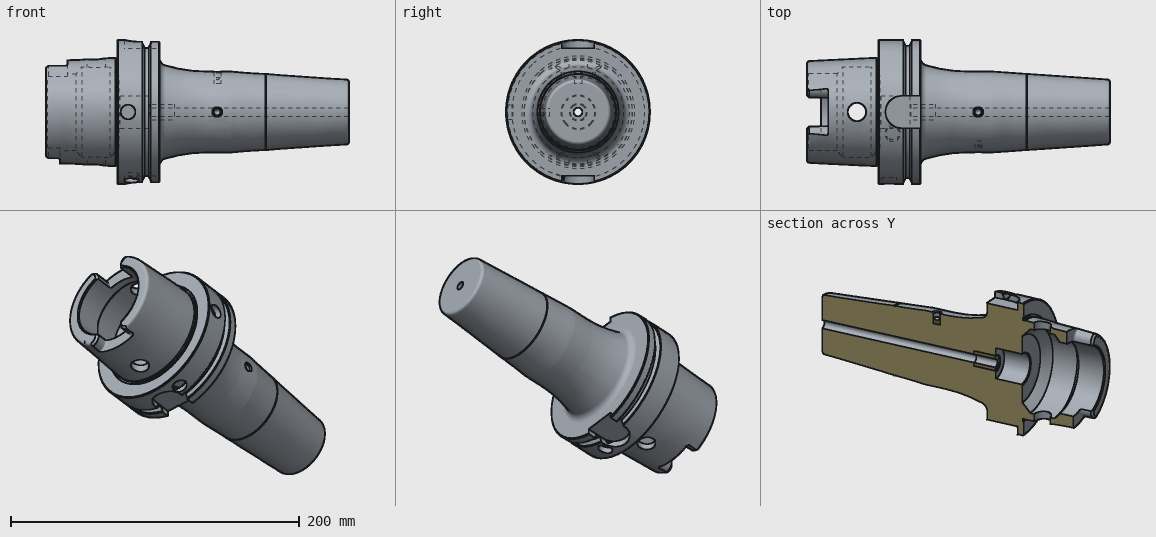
import cadquery as cq
import math

length = 210.0
flange_radius = 50.0

mouth_radius = 35.3
taper_end_x = 47.0
taper_end_radius = 37.5
end_round = 2.0
relief_x = 48.0
relief_depth = 0.2
face_recess_radius = 39.0
face_recess_depth = 0.6

flange_start_x = 49.4
flange_end_x = 78.8
flange_chamfer = 0.6
groove_start_x = 66.8
groove_end_x = 72.7
groove_floor_radius = 46.0
groove_floor_width = 2.7
groove_lip = 1.0

blend_radius = 5.2
sweep_radius = 99.1
barrel_start_x = 111.3
barrel_end_x = 128.0
barrel_radius = 28.1
ring_x = 152.0
ring_width = 0.5
ring_depth = 0.2
ring_radius = 26.5
nose_radius = 22.5

bore_radius = 26.7
bore_chamfer = 0.8
bore_mouth_depth = 20.8
chamber_radius = 31.5
chamber_start_x = 24.8
chamber_end_x = 44.0
chamber_floor_x = 50.5
chamber_floor_radius = 25.0
thread_radius = 11.3
thread_depth = 21.0
thread_chamfer = 0.6
coolant_radius = 3.0

stop_screw_radius = 5.5
stop_screw_length = 16.8
stop_screw_chamfer = 0.6

notch_half_width = 9.9
notch_corner_radius = 6.0
notch_height = 32.1
upper_notch_depth = 15.0
lower_notch_depth = 9.7
notch_root_round = 1.3
notch_flare = 1.7

cross_hole_x = 34.6
cross_hole_radius = 6.3
keyway_half_width = 11.1
keyway_start_x = 54.4
keyway_floor_height = 44.0
chip_hole_x = 57.0
dimple_x = 59.2
dimple_angle = 162.0
flange_hole_radius = 5.0
flange_hole_depth = 4.6

screw_x = 118.6
screw_radius = 2.5
screw_length = 4.2
screw_recess = 4.2
socket_radius = 2.3
socket_depth = 1.5
screw_hole_chamfer = 1.0
screw_angles = (0, 90)


def spin(profile):
    """Solid of revolution of a profile about the X axis."""
    return profile.close().revolve(360, (0, 0, 0), (1, 0, 0))


def turn(tool, angle):
    """Turns a tool about the X axis, from +Z toward -Y."""
    return tool.rotate((0, 0, 0), (1, 0, 0), angle)


def point_at(center, radius, angle):
    """Point on a circle, with the angle in radians."""
    return (center[0] + radius * math.cos(angle), center[1] + radius * math.sin(angle))


def outer_body():
    groove_middle = (groove_start_x + groove_end_x) / 2
    groove_floor_start = groove_middle - groove_floor_width / 2
    groove_floor_end = groove_middle + groove_floor_width / 2
    relief_radius = taper_end_radius - relief_depth
    rim_radius = flange_radius - flange_chamfer

    sweep_center = (barrel_start_x, barrel_radius + sweep_radius)
    blend_x = flange_end_x + blend_radius
    center_distance = sweep_radius - blend_radius
    center_rise = math.sqrt(center_distance**2 - (barrel_start_x - blend_x) ** 2)
    blend_center = (blend_x, sweep_center[1] - center_rise)
    tangent_angle = -math.pi + math.atan2(center_rise, barrel_start_x - blend_x)
    blend_end = point_at(sweep_center, sweep_radius, tangent_angle)
    blend_middle = point_at(blend_center, blend_radius, (tangent_angle - math.pi) / 2)
    sweep_middle = point_at(sweep_center, sweep_radius, (tangent_angle - math.pi / 2) / 2)

    return spin(
        cq.Workplane("XY")
        .moveTo(0, 0)
        .lineTo(0, mouth_radius)
        .lineTo(taper_end_x, taper_end_radius)
        .lineTo(relief_x, taper_end_radius)
        .lineTo(relief_x + relief_depth, relief_radius)
        .lineTo(flange_start_x + face_recess_depth, relief_radius)
        .lineTo(flange_start_x + face_recess_depth, face_recess_radius)
        .lineTo(flange_start_x, face_recess_radius)
        .lineTo(flange_start_x, rim_radius)
        .lineTo(flange_start_x + flange_chamfer, flange_radius)
        .lineTo(groove_start_x, flange_radius)
        .lineTo(groove_start_x, flange_radius - groove_lip)
        .lineTo(groove_floor_start, groove_floor_radius)
        .lineTo(groove_floor_end, groove_floor_radius)
        .lineTo(groove_end_x, flange_radius - groove_lip)
        .lineTo(groove_end_x, flange_radius)
        .lineTo(flange_end_x - flange_chamfer, flange_radius)
        .lineTo(flange_end_x, rim_radius)
        .lineTo(flange_end_x, blend_center[1])
        .threePointArc(blend_middle, blend_end)
        .threePointArc(sweep_middle, (barrel_start_x, barrel_radius))
        .lineTo(barrel_end_x, barrel_radius)
        .lineTo(ring_x, ring_radius)
        .lineTo(ring_x, ring_radius - ring_depth)
        .lineTo(ring_x + ring_width, ring_radius - ring_depth)
        .lineTo(ring_x + ring_width, ring_radius)
        .lineTo(length, nose_radius)
        .lineTo(length, 0)
    )


def bore():
    """Mouth, clamping chamber, threaded bore, stop screw hole and coolant passage."""
    thread_end = chamber_floor_x + thread_depth
    screw_start = thread_end + stop_screw_chamfer
    screw_end = screw_start + stop_screw_length
    return spin(
        cq.Workplane("XY")
        .moveTo(0, 0)
        .lineTo(0, bore_radius + bore_chamfer)
        .lineTo(bore_chamfer, bore_radius)
        .lineTo(bore_mouth_depth, bore_radius)
        .lineTo(chamber_start_x, chamber_radius)
        .lineTo(chamber_end_x, chamber_radius)
        .lineTo(chamber_floor_x, chamber_floor_radius)
        .lineTo(chamber_floor_x, thread_radius + thread_chamfer)
        .lineTo(chamber_floor_x + thread_chamfer, thread_radius)
        .lineTo(thread_end, thread_radius)
        .lineTo(thread_end, stop_screw_radius + stop_screw_chamfer)
        .lineTo(screw_start, stop_screw_radius)
        .lineTo(screw_end, stop_screw_radius)
        .lineTo(screw_end, coolant_radius)
        .lineTo(length, coolant_radius)
        .lineTo(length, 0)
    )


def notch_outline(spread):
    """Cross-section of a drive notch, with every side moved out into the fingers by spread."""
    wall_y = notch_half_width + spread
    shoulder_z = notch_height - spread
    corner = notch_corner_radius - spread
    corner_inset = corner * (1 - math.sqrt(0.5))
    outside = flange_radius + spread
    return (
        cq.Workplane("YZ")
        .moveTo(-wall_y, 0)
        .lineTo(-wall_y, shoulder_z - corner)
        .threePointArc(
            (-wall_y - corner_inset, shoulder_z - corner_inset), (-wall_y - corner, shoulder_z)
        )
        .lineTo(-outside, shoulder_z)
        .lineTo(-outside, outside)
        .lineTo(outside, outside)
        .lineTo(outside, shoulder_z)
        .lineTo(wall_y + corner, shoulder_z)
        .threePointArc(
            (wall_y + corner_inset, shoulder_z - corner_inset), (wall_y, shoulder_z - corner)
        )
        .lineTo(wall_y, 0)
        .close()
    )


def notch(depth):
    """Cutter for one drive notch, with a rounded root and a flared mouth."""
    slot = notch_outline(0).extrude(depth).faces(">X").edges().fillet(notch_root_round)
    flare = notch_outline(notch_flare).extrude(notch_flare, taper=45)
    return slot.union(flare)


def cross_hole():
    return (
        cq.Workplane("XY", origin=(cross_hole_x, 0, 0))
        .circle(cross_hole_radius)
        .extrude(flange_radius, both=True)
    )


def keyway():
    """Round-ended flat slot, open toward the nose side of the flange."""
    round_end_x = keyway_start_x + keyway_half_width
    return (
        cq.Workplane("XY", origin=(0, 0, keyway_floor_height))
        .moveTo(flange_end_x, -keyway_half_width)
        .lineTo(round_end_x, -keyway_half_width)
        .threePointArc((keyway_start_x, 0), (round_end_x, keyway_half_width))
        .lineTo(flange_end_x, keyway_half_width)
        .close()
        .extrude(flange_radius - keyway_floor_height)
    )


def flange_hole(x, angle):
    """Flat-bottomed radial hole in the rim of the flange."""
    floor = cq.Workplane("XY", origin=(x, 0, flange_radius - flange_hole_depth))
    return turn(floor.circle(flange_hole_radius).extrude(2 * flange_hole_depth), angle)


def spin_upright(profile):
    """Solid of revolution of a profile about the axis of the screw that points to +Z."""
    return profile.close().revolve(360, (0, 0, 0), (0, 1, 0)).translate((screw_x, 0, 0))


def screw_hole(angle):
    """Blind hole with a countersunk rim."""
    floor = barrel_radius - screw_recess - screw_length
    outside = barrel_radius + screw_hole_chamfer
    hole = spin_upright(
        cq.Workplane("XZ")
        .moveTo(0, floor)
        .lineTo(screw_radius, floor)
        .lineTo(screw_radius, barrel_radius - screw_hole_chamfer)
        .lineTo(screw_radius + 2 * screw_hole_chamfer, outside)
        .lineTo(0, outside)
    )
    return turn(hole, angle)


def make_balancing_screw(angle):
    """Grub screw with a conical socket in its head."""
    head = barrel_radius - screw_recess
    tip = head - screw_length
    screw = spin_upright(
        cq.Workplane("XZ")
        .moveTo(0, tip)
        .lineTo(screw_radius, tip)
        .lineTo(screw_radius, head)
        .lineTo(socket_radius, head)
        .lineTo(0, head - socket_depth)
    )
    return turn(screw, angle)


def make_stop_screw():
    start = chamber_floor_x + thread_depth + stop_screw_chamfer
    return (
        cq.Workplane("YZ", origin=(start, 0, 0))
        .circle(stop_screw_radius)
        .circle(coolant_radius)
        .extrude(stop_screw_length)
    )


def make_holder():
    body = outer_body().faces("<X or >X").edges().fillet(end_round)
    body = body.cut(notch(upper_notch_depth)).cut(turn(notch(lower_notch_depth), 180))
    body = body.cut(bore()).cut(cross_hole())
    body = body.cut(keyway()).cut(turn(keyway(), 180))
    body = body.cut(flange_hole(chip_hole_x, 90)).cut(flange_hole(dimple_x, dimple_angle))
    for angle in screw_angles:
        body = body.cut(screw_hole(angle))
    return body


holder = make_holder()
stop_screw = make_stop_screw()
balancing_screws = [make_balancing_screw(angle) for angle in screw_angles]

result = cq.Compound.makeCompound(
    [holder.val(), stop_screw.val(), *[screw.val() for screw in balancing_screws]]
)